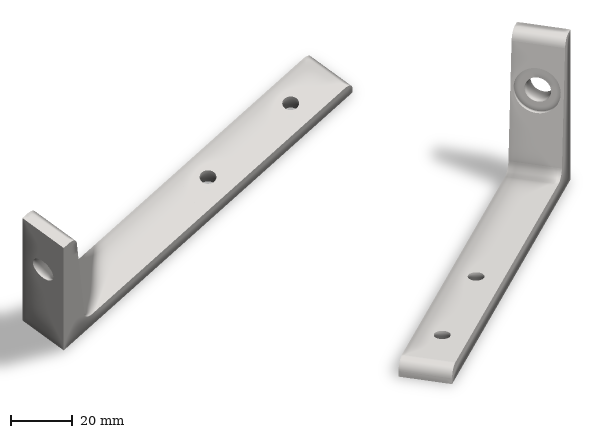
import cadquery as cq
import math

width = 18.0
length = 140.0
height = 56.0

base_thickness = 6.0
upright_tip_thickness = 6.0
upright_taper = 5.0
edge_radius = 3.9
inside_radius = 3.9

base_hole_diameter = 5.5
base_hole_end_distances = (20.0, 60.0)
upright_hole_diameter = 9.0
upright_hole_drop = 20.0
counterbore_diameter = 16.0
counterbore_floor = 7.0

taper_slope = math.tan(math.radians(upright_taper))


def upright_thickness(z):
    """Thickness of the tapered upright at height z."""
    return upright_tip_thickness + (height - z) * taper_slope


def make_bracket():
    """L-shaped section in the YZ plane, extruded across the width and rounded."""
    corner_y = upright_thickness(base_thickness)
    profile = [
        (0, 0),
        (length, 0),
        (length, base_thickness),
        (corner_y, base_thickness),
        (upright_tip_thickness, height),
        (0, height),
    ]
    body = cq.Workplane("YZ").polyline(profile).close().extrude(width / 2, both=True)
    inside_corner = cq.selectors.NearestToPointSelector((0, corner_y, base_thickness))
    upright_tip = cq.selectors.NearestToPointSelector((0, upright_tip_thickness, height))
    base_tip = cq.selectors.NearestToPointSelector((0, length, base_thickness))
    body = body.edges("|X").edges(inside_corner).fillet(inside_radius)
    body = body.edges("|X").edges(upright_tip).fillet(edge_radius)
    return body.edges("|X").edges(base_tip).fillet(edge_radius)


def make_base_holes():
    """Vertical through holes along the centre of the base."""
    centres = [(0, length - distance) for distance in base_hole_end_distances]
    return cq.Workplane("XY").pushPoints(centres).circle(base_hole_diameter / 2).extrude(base_thickness)


def make_upright_hole():
    """Through hole in the upright along Y, counterbored from the tapered side."""
    z = height - upright_hole_drop
    cut_end = upright_thickness(0)
    axis = cq.Workplane("XZ").center(0, z)
    hole = axis.circle(upright_hole_diameter / 2).extrude(-cut_end)
    counterbore = (
        axis.workplane(offset=-counterbore_floor)
        .circle(counterbore_diameter / 2)
        .extrude(counterbore_floor - cut_end)
    )
    return hole.union(counterbore)


result = make_bracket().cut(make_base_holes()).cut(make_upright_hole())